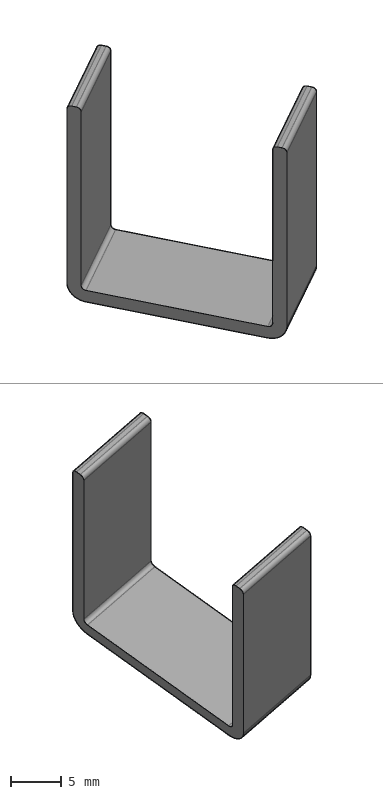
import cadquery as cq

width = 23.0
depth = 10.0
height = 25.0

thickness = 1.5
inner_bend_radius = 0.5
outer_bend_radius = inner_bend_radius + thickness
tip_radius = 0.5


def upright_block(block_width, block_height, bottom):
    """Block centred on X and Y, standing at the given Z."""
    return (
        cq.Workplane("XY")
        .workplane(offset=bottom)
        .box(block_width, depth, block_height, centered=(True, True, False))
    )


body = upright_block(width, height, 0).edges("|Y and <Z").fillet(outer_bend_radius)

channel = upright_block(width - 2 * thickness, height - thickness, thickness)
channel = channel.edges("|Y and <Z").fillet(inner_bend_radius)

bracket = body.cut(channel)
result = bracket.faces(">Z").edges("|Y").fillet(tip_radius)